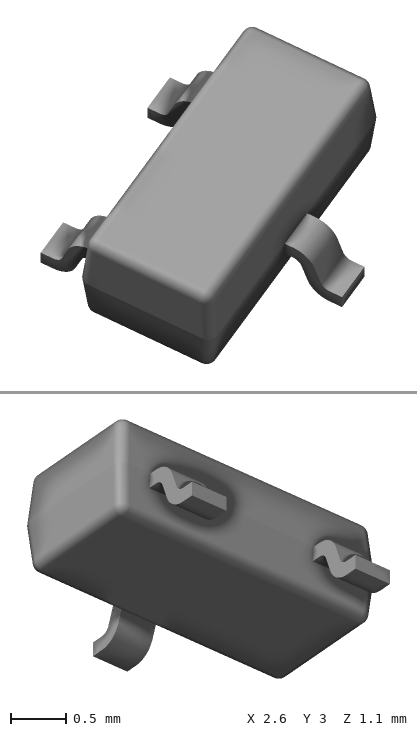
import cadquery as cq
import math

span_x = 2.6
body_x = 1.4
body_y = 3.0
total_height = 1.1
standoff = 0.05
parting_z = 0.55

draft_angle = 5.0
edge_radius = 0.1

lead_width = 0.4
lead_thickness = 0.15
lead_pitch = 1.9
foot_flat = 0.13
inner_radius = 0.1
bend_angle = 70.0
lead_embed = 0.15


def body_half(height):
    """Drafted half rising from Z = 0, rounded everywhere except at the parting face."""
    half = cq.Workplane("XY").rect(body_x, body_y).extrude(height, taper=draft_angle)
    return half.edges("not <Z").fillet(edge_radius)


def lead(y_center):
    """Lead on the +X side, from its foot to just inside the body."""
    outer_radius = inner_radius + lead_thickness
    angle = math.radians(bend_angle)
    sine, cosine = math.sin(angle), math.cos(angle)
    half_sine, half_cosine = math.sin(angle / 2), math.cos(angle / 2)

    bends_height = (inner_radius + outer_radius) * (1 - cosine)
    slope_height = parting_z - lead_thickness - bends_height
    slope_run = slope_height / math.tan(angle)

    tip_x = span_x / 2
    foot_x = tip_x - foot_flat
    foot_z = lead_thickness + inner_radius
    shoulder_x = foot_x - (inner_radius + outer_radius) * sine - slope_run
    shoulder_z = parting_z - outer_radius
    root_x = body_x / 2 - lead_embed

    def foot_point(radius, s, c):
        return (foot_x - radius * s, foot_z - radius * c)

    def shoulder_point(radius, s, c):
        return (shoulder_x + radius * s, shoulder_z + radius * c)

    profile = (
        cq.Workplane("XZ", origin=(0, y_center + lead_width / 2, 0))
        .moveTo(tip_x, 0)
        .lineTo(tip_x, lead_thickness)
        .lineTo(foot_x, lead_thickness)
        .threePointArc(
            foot_point(inner_radius, half_sine, half_cosine),
            foot_point(inner_radius, sine, cosine),
        )
        .lineTo(*shoulder_point(outer_radius, sine, cosine))
        .threePointArc(
            shoulder_point(outer_radius, half_sine, half_cosine),
            (shoulder_x, parting_z),
        )
        .lineTo(root_x, parting_z)
        .lineTo(root_x, parting_z - lead_thickness)
        .lineTo(shoulder_x, parting_z - lead_thickness)
        .threePointArc(
            shoulder_point(inner_radius, half_sine, half_cosine),
            shoulder_point(inner_radius, sine, cosine),
        )
        .lineTo(*foot_point(outer_radius, sine, cosine))
        .threePointArc(foot_point(outer_radius, half_sine, half_cosine), (foot_x, 0))
        .close()
    )
    return profile.extrude(lead_width)


upper = body_half(total_height - parting_z)
lower = body_half(parting_z - standoff).mirror("XY")
body = upper.union(lower).translate((0, 0, parting_z))

result = body.union(lead(0))
for y_center in (-lead_pitch / 2, lead_pitch / 2):
    result = result.union(lead(y_center).mirror("YZ"))